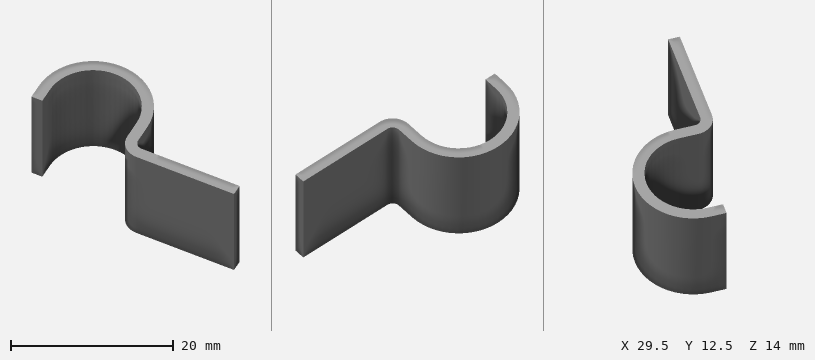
import cadquery as cq
import math

length = 29.5
width = 14.0
thickness = 1.5
loop_radius = 7.5
free_leg = 2.0
joining_leg = 2.5
bend_outer_radius = 2.5

loop_inner_radius = loop_radius - thickness
bend_inner_radius = bend_outer_radius - thickness
bend_x = loop_radius + bend_inner_radius
bend_y = -joining_leg
tab_end_x = length - loop_radius
tab_front_y = bend_y - bend_outer_radius
tab_back_y = tab_front_y + thickness


def bend_midpoint(radius):
    """Point halfway round the quarter bend at the given radius."""
    offset = radius * math.sqrt(0.5)
    return (bend_x - offset, bend_y - offset)


strip_outline = (
    cq.Workplane("XY")
    .moveTo(-loop_radius, -free_leg)
    .lineTo(-loop_radius, 0)
    .threePointArc((0, loop_radius), (loop_radius, 0))
    .lineTo(loop_radius, bend_y)
    .threePointArc(bend_midpoint(bend_inner_radius), (bend_x, tab_back_y))
    .lineTo(tab_end_x, tab_back_y)
    .lineTo(tab_end_x, tab_front_y)
    .lineTo(bend_x, tab_front_y)
    .threePointArc(bend_midpoint(bend_outer_radius), (loop_inner_radius, bend_y))
    .lineTo(loop_inner_radius, 0)
    .threePointArc((0, loop_inner_radius), (-loop_inner_radius, 0))
    .lineTo(-loop_inner_radius, -free_leg)
    .close()
)

result = strip_outline.extrude(width)